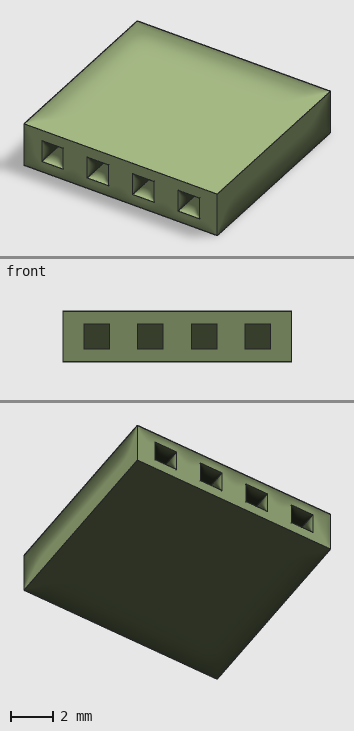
import cadquery as cq

length = 10.8
depth = 10.0
height = 2.4

socket_count = 4
socket_pitch = 2.54
socket_side = 1.2
socket_depth = depth / 2


def make_housing():
    return cq.Workplane("XY").box(length, depth, height)


def make_sockets():
    """Square prisms reaching inward from the -Y face, centred on the block."""
    return (
        cq.Workplane("XZ", origin=(0, -depth / 2, 0))
        .rarray(socket_pitch, 0.11, socket_count, 1)
        .rect(socket_side, socket_side)
        .extrude(-socket_depth)
    )


result = make_housing().cut(make_sockets())